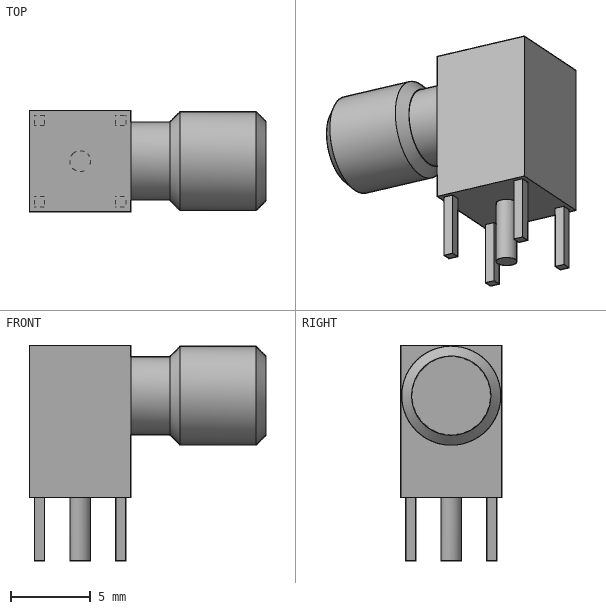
import cadquery as cq

body_width = 6.35
body_height = 9.53

overall_length = 14.81
axis_height = 6.38
neck_diameter = 4.9
neck_length = 2.46
barrel_diameter = 6.2
barrel_length = overall_length - body_width - neck_length
barrel_chamfer = 0.62

pin_length = 3.96
ground_pin_width = 0.64
ground_pin_pitch = 5.08
signal_pin_diameter = 1.3


def make_housing():
    return cq.Workplane("XY").box(body_width, body_width, body_height, centered=(True, True, False))


def x_cylinder(start_x, diameter, length):
    """Cylinder on the connector axis, running toward +X from start_x."""
    plane = cq.Workplane("YZ", origin=(start_x, 0, axis_height))
    return plane.circle(diameter / 2).extrude(length)


def make_connector():
    """Plain neck carrying a larger barrel chamfered at both ends."""
    neck_start = body_width / 2
    neck = x_cylinder(neck_start, neck_diameter, neck_length)
    barrel = x_cylinder(neck_start + neck_length, barrel_diameter, barrel_length)
    barrel = barrel.faces("<X or >X").chamfer(barrel_chamfer)
    return neck.union(barrel)


def make_pins():
    """Round signal pin in the middle of four square ground pins."""
    signal_pin = cq.Workplane("XY").circle(signal_pin_diameter / 2).extrude(-pin_length)
    ground_pins = (
        cq.Workplane("XY")
        .rarray(ground_pin_pitch, ground_pin_pitch, 2, 2)
        .rect(ground_pin_width, ground_pin_width)
        .extrude(-pin_length)
    )
    return signal_pin.union(ground_pins)


result = make_housing().union(make_connector()).union(make_pins())